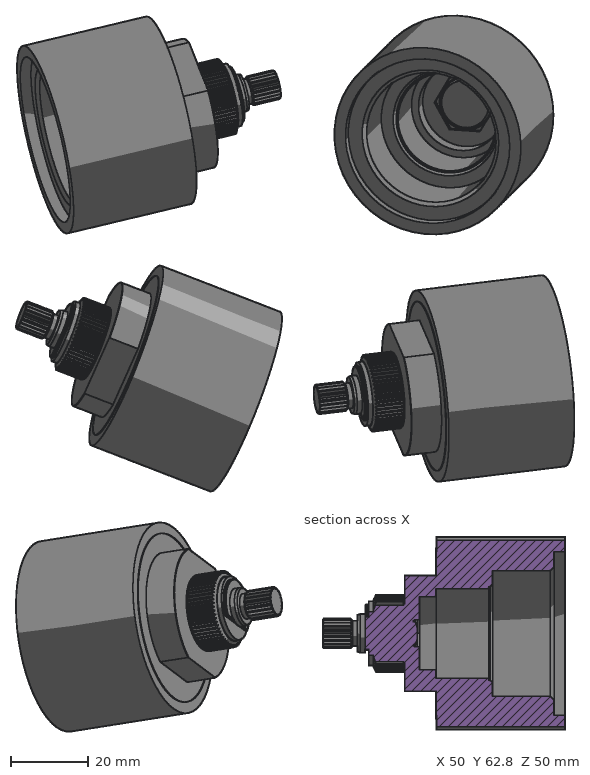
import cadquery as cq
import math


body_radius = 25.0
body_end = 33.35
pad_radius = 22.1
pad_end = 33.55
collar_radius = 17.2
collar_flat_distance = 15.0
collar_end = 41.6
collar_chamfer = 0.1

knurl_radius = 10.05
knurl_start = 41.95
knurl_end = 49.75
knurl_undercut_radius = 9.8
knurl_chamfer_length = 0.75
knurl_chamfer_depth = 1.5
knurl_teeth = 60
first_knurl_groove = 0.5
knurl_depth = 0.6
knurl_groove_share = 0.6

shoulder_radius = 8.35
shoulder_end = 50.9
clip_radius = 7.55
clip_end = 51.8
clip_chamfer = 0.25
clip_cut_z = -4.35
washer_radius = 5.0
washer_end = 53.8
washer_chamfer_length = 0.7
washer_chamfer_depth = 0.25

neck_radius = 3.3
spline_radius = 3.9
spline_start = 55.1
spline_end = 62.8
spline_chamfer = 0.3
spline_run_out = 0.55
spline_teeth = 20
first_spline_groove = 0
spline_depth = 0.5
spline_groove_share = 0.95

recess_radius = 22.0
recess_end = 2.9
bore_radius = 17.35
bore_chamfer = 0.95
bore_end = 18.8
inner_entry_radius = 14.1
inner_chamfer = 0.6
inner_entry_end = 19.8
inner_radius = 13.05
inner_end = 33.4
pocket_radius = 11.2
pocket_end = 37.7

hex_across_flats = 13.95
hex_end = 38.95
seat_radius = 7.05
seat_end = 39.3
plug_radius = 6.8
plug_chamfer = 0.5
plug_start = 38.3

groove_overcut = 0.3


def revolve_about_y(profile):
    """Turn a closed (radius, Y) outline about the Y axis."""
    return cq.Workplane("XY").polyline(profile).close().revolve(360, (0, 0, 0), (0, 1, 0))


def along_y(y_start):
    """Workplane across the axis at y_start, with local X and Y along X and Z and its normal along -Y."""
    return cq.Workplane("XZ", origin=(0, y_start, 0))


def cut_teeth(solid, radius, depth, teeth, groove_share, first_groove, y_start, y_end):
    """Cut V grooves along Y, the first one turned first_groove pitches from the X axis."""
    half_width = groove_share * math.pi * radius / teeth
    slope = half_width / depth
    outer = radius + groove_overcut
    outer_half_width = half_width + slope * groove_overcut
    groove = (
        along_y(y_end)
        .polyline([(radius - depth, 0), (outer, outer_half_width), (outer, -outer_half_width)])
        .close()
        .extrude(y_end - y_start)
        .val()
    )
    pitch = 360 / teeth
    axis_start = cq.Vector(0, 0, 0)
    axis_end = cq.Vector(0, 1, 0)
    grooves = [groove.rotate(axis_start, axis_end, (index + first_groove) * pitch) for index in range(teeth)]
    return solid.cut(cq.Workplane(cq.Compound.makeCompound(grooves)))


def make_body():
    body = along_y(0).circle(body_radius).extrude(-body_end)
    pad = along_y(0).circle(pad_radius).extrude(-pad_end)
    return body.union(pad)


def make_collar():
    """Round collar with two flats facing up and down."""
    collar = along_y(pad_end).circle(collar_radius).extrude(pad_end - collar_end)
    collar = collar.faces(">Y").chamfer(collar_chamfer)
    flats = cq.Workplane("XY").box(2 * collar_radius, 2 * collar_end, 2 * collar_flat_distance)
    return collar.intersect(flats)


def make_knurl():
    ring = revolve_about_y([
        (0, knurl_start),
        (knurl_radius, knurl_start),
        (knurl_radius, knurl_end - knurl_chamfer_length),
        (knurl_radius - knurl_chamfer_depth, knurl_end),
        (0, knurl_end),
    ])
    ring = cut_teeth(
        ring, knurl_radius, knurl_depth, knurl_teeth,
        knurl_groove_share, first_knurl_groove, knurl_start, knurl_end
    )
    undercut = along_y(collar_end).circle(knurl_undercut_radius).extrude(collar_end - knurl_start)
    return ring.union(undercut)


def make_clip():
    """Chamfered disc with its lower side cut straight."""
    clip = along_y(shoulder_end).circle(clip_radius).extrude(shoulder_end - clip_end)
    top_z = 2 * clip_radius
    keep = (
        cq.Workplane("XY")
        .box(2 * clip_radius, 2 * clip_end, top_z, centered=(True, True, False))
        .translate((0, 0, clip_cut_z))
    )
    return clip.intersect(keep).faces("<Y or >Y").chamfer(clip_chamfer)


def make_neck():
    shoulder = along_y(knurl_end).circle(shoulder_radius).extrude(knurl_end - shoulder_end)
    washer_and_neck = revolve_about_y([
        (0, clip_end),
        (washer_radius, clip_end),
        (washer_radius, washer_end - washer_chamfer_length),
        (washer_radius - washer_chamfer_depth, washer_end),
        (neck_radius, washer_end),
        (neck_radius, spline_start),
        (0, spline_start),
    ])
    return shoulder.union(make_clip()).union(washer_and_neck)


def make_spline():
    spline = revolve_about_y([
        (0, spline_start),
        (neck_radius, spline_start),
        (spline_radius, spline_start + spline_run_out),
        (spline_radius, spline_end - spline_chamfer),
        (spline_radius - spline_chamfer, spline_end),
        (0, spline_end),
    ])
    return cut_teeth(
        spline, spline_radius, spline_depth, spline_teeth,
        spline_groove_share, first_spline_groove, spline_start, spline_end
    )


def make_bore():
    return revolve_about_y([
        (0, 0),
        (recess_radius, 0),
        (recess_radius, recess_end),
        (bore_radius + bore_chamfer, recess_end),
        (bore_radius, recess_end + bore_chamfer),
        (bore_radius, bore_end),
        (inner_entry_radius, bore_end),
        (inner_entry_radius - inner_chamfer, bore_end + inner_chamfer),
        (inner_entry_radius - inner_chamfer, inner_entry_end),
        (inner_radius, inner_entry_end),
        (inner_radius, inner_end),
        (pocket_radius, inner_end),
        (pocket_radius, pocket_end),
        (0, pocket_end),
    ])


def make_hex_recess():
    """Hexagonal recess whose floor flares down to the foot of the plug."""
    hex_corners = hex_across_flats / math.cos(math.pi / 6)
    hexagon = along_y(seat_end).polygon(6, hex_corners)
    seat = revolve_about_y([
        (0, hex_end),
        (seat_radius, hex_end),
        (plug_radius, seat_end),
        (0, seat_end),
    ])
    flared_seat = hexagon.extrude(seat_end - pocket_end).intersect(seat)
    recess = along_y(hex_end).polygon(6, hex_corners).extrude(hex_end - pocket_end)
    plug = along_y(seat_end).circle(plug_radius).extrude(seat_end - plug_start)
    return recess.union(flared_seat).cut(plug.faces("<Y").chamfer(plug_chamfer))


result = (
    make_body()
    .union(make_collar())
    .union(make_knurl())
    .union(make_neck())
    .union(make_spline())
    .cut(make_bore())
    .cut(make_hex_recess())
)